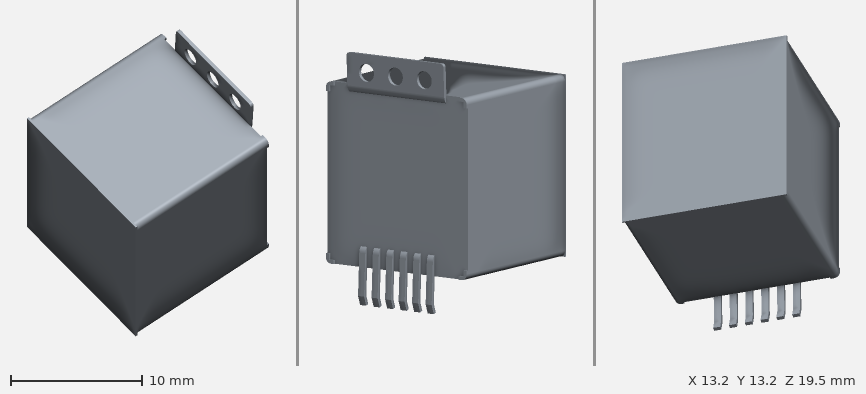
import cadquery as cq
import math


width = 13.2
height = 14.1
depth = 13.01
cover_thickness = 0.15
wall = 0.3
corner_radius = 0.49
foot_width = 0.75
foot_length = 0.78
foot_height = 0.2
rim_y = depth - foot_height

overall_depth = 13.19
strip_thickness = 0.3
strip_tilt = math.radians(2.7)
inner_bend_radius = 0.4
outer_bend_radius = inner_bend_radius + strip_thickness
leg_depth = 1.0
leg_end_y = rim_y - leg_depth

tab_width = 9.1
tab_rise = 2.48
tab_leg_drop = 0.78
tab_corner_radius = 0.25
tab_hole_diameter = 1.4
tab_hole_pitch = 2.71
tab_hole_count = 3
tab_hole_rise = 1.03

pin_count = 6
pin_pitch = 1.27
pin_width = 0.57
pin_drop = 2.93
pin_leg_rise = 1.81
tip_drop = 0.75
tip_angle = math.radians(20)


def make_cover():
    """Square-cornered plate that closes the front."""
    return cq.Workplane("XY").box(width, cover_thickness, height, centered=(True, False, False))


def make_housing():
    """Round-cornered sleeve whose back rim is cut down between four corner feet."""
    sleeve = (
        cq.Workplane("XY")
        .box(width, depth - cover_thickness, height, centered=(True, False, False))
        .translate((0, cover_thickness, 0))
        .edges("|Y")
        .fillet(corner_radius)
        .cut(make_core())
    )
    gap_x = width - 2 * foot_width
    gap_z = height - 2 * foot_length
    upright_gap = cq.Workplane("XY").box(gap_x, foot_height, height, centered=(True, False, False))
    level_gap = (
        cq.Workplane("XY")
        .box(width, foot_height, gap_z, centered=(True, False, False))
        .translate((0, 0, foot_length))
    )
    opening = (
        cq.Workplane("XY")
        .box(width - 2 * wall, foot_height, height - 2 * wall, centered=(True, False, False))
        .translate((0, 0, wall))
    )
    rim_cut = upright_gap.union(level_gap).union(opening).translate((0, rim_y, 0))
    return sleeve.cut(rim_cut)


def make_core():
    """Block that fills the sleeve and holds the legs of the tab and the pins."""
    return (
        cq.Workplane("XY")
        .box(width - 2 * wall, rim_y - cover_thickness, height - 2 * wall, centered=(True, False, False))
        .translate((0, cover_thickness, wall))
    )


def offset_inward(point, heading_in, heading_out):
    """Point on the inner face of a strip, on the mitre line through an outer corner."""
    middle = (heading_in + heading_out) / 2
    reach = strip_thickness / math.cos((heading_in - heading_out) / 2)
    return (point[0] - reach * math.cos(middle), point[1] + reach * math.sin(middle))


def strip_outline(outer):
    """Closed side outline of a strip from the (y, h) corners of its outer face, h pointing to the tip."""
    headings = [math.atan2(b[0] - a[0], b[1] - a[1]) for a, b in zip(outer, outer[1:])]
    inner = [
        offset_inward(point, heading_in, heading_out)
        for point, heading_in, heading_out in zip(outer, headings[:1] + headings, headings + headings[-1:])
    ]
    return outer + inner[::-1]


def make_strip(outer, strip_width):
    """Strip centred on X, its leg on h = 0 and its tip toward +Z, with a rounded bend."""
    outer_corner = outer[1]
    outline = strip_outline(outer)
    inner_corner = outline[-2]
    strip = cq.Workplane("YZ").polyline(outline).close().extrude(strip_width / 2, both=True)
    strip = strip.edges(cq.NearestToPointSelector((0, *outer_corner))).fillet(outer_bend_radius)
    return strip.edges(cq.NearestToPointSelector((0, *inner_corner))).fillet(inner_bend_radius)


def strip_to_farthest_point(far_h):
    """Outer-face corners of a leg and a blade that leans out to the overall depth at height far_h."""
    bend_y = overall_depth - far_h * math.tan(strip_tilt)
    return [(leg_end_y, 0), (bend_y, 0), (overall_depth, far_h)]


def make_tab():
    """Upright tab with rounded top corners and a row of holes."""
    leg_z = height - tab_leg_drop
    outer = strip_to_farthest_point(tab_leg_drop + tab_rise)
    blank = make_strip(outer, tab_width).translate((0, 0, leg_z))
    front_outline = (
        cq.Workplane("XZ")
        .rect(tab_width, 2 * (height + tab_rise))
        .extrude(-2 * depth)
        .edges("|Y and >Z")
        .fillet(tab_corner_radius)
    )
    first_x = -tab_hole_pitch * (tab_hole_count - 1) / 2
    hole_places = [(first_x + i * tab_hole_pitch, height + tab_hole_rise) for i in range(tab_hole_count)]
    holes = cq.Workplane("XZ").pushPoints(hole_places).circle(tab_hole_diameter / 2).extrude(-2 * depth)
    return blank.intersect(front_outline).cut(holes)


def make_pin(x):
    """Pin that leans outward as it goes down and ends in a tip kinked back toward the front."""
    kink_h = pin_leg_rise + pin_drop - tip_drop
    outer = strip_to_farthest_point(kink_h)
    outer.append((overall_depth - tip_drop * math.tan(tip_angle), kink_h + tip_drop))
    return make_strip(outer, pin_width).mirror("XY").translate((x, 0, pin_leg_rise))


tab = make_tab()
first_pin_x = -pin_pitch * (pin_count - 1) / 2
pins = [make_pin(first_pin_x + i * pin_pitch) for i in range(pin_count)]

cover = make_cover()
housing = make_housing()
core = make_core()
for strip in [tab, *pins]:
    housing = housing.cut(strip)
    core = core.cut(strip)

result = cq.Compound.makeCompound(
    [cover.val(), housing.val(), core.val(), tab.val(), *[pin.val() for pin in pins]]
)